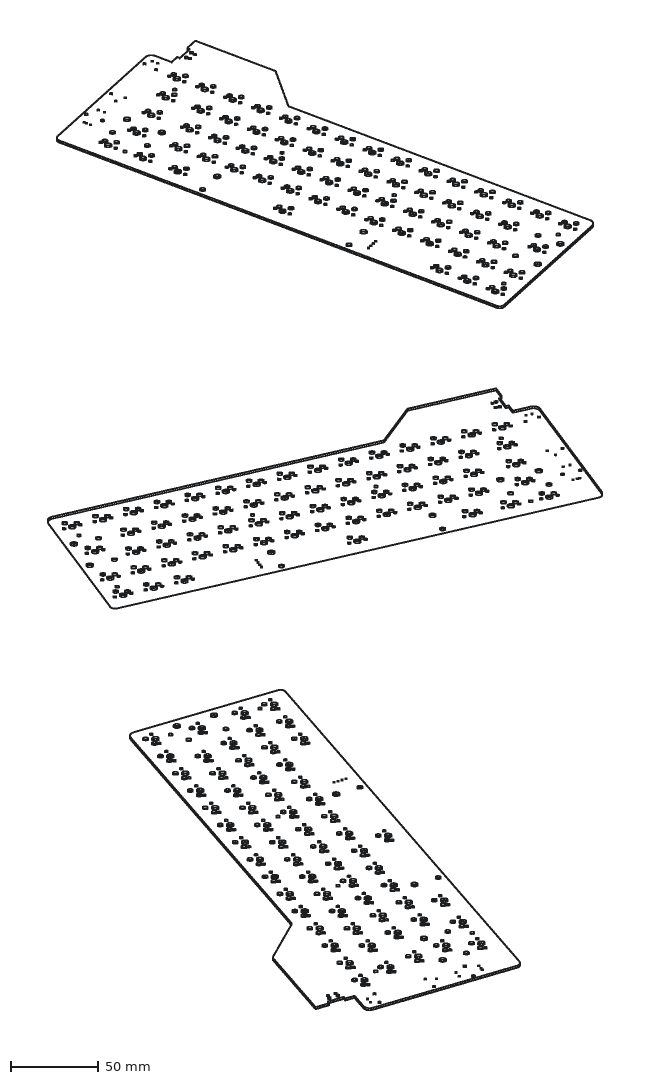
import cadquery as cq


length = 304.7
depth = 124.5
thickness = 1.5
main_depth = 99.5
front_corner_radius = 3.0
back_corner_radius = 4.0
right = length / 2
front = -depth / 2
back = depth / 2
main_back = front + main_depth

tab_left = -137.0
tab_slope_top = -82.3
tab_height = back - main_back
tab_overlap = 3.0
notch_depth = 1.8
notch_height = 10.5
notch_center_y = 48.5
notch_bottom = notch_center_y - notch_height / 2
notch_top = notch_center_y + notch_height / 2

four_key_span = 76.2
pitch = four_key_span / 4
key_columns = 15
side_margin = 1.9
front_margin = 1.8
field_left = right - side_margin - key_columns * pitch
front_row_y = front + front_margin + pitch / 2

modifier_width = 1.25
tab_key_width = 1.5
caps_width = 1.75
shift_width = 2
spacebar_width = 6.25
enter_width = 1.25

letter_key_count = 12
lower_key_count = 13
modifier_count = 3
arrow_key_count = 3

grid_step = pitch / 15
stem_diameter = 4.0
peg_diameter = 1.75
contact_diameter = 3.0
peg_offset = 4 * grid_step
contact_offsets = [(-3 * grid_step, 2 * grid_step), (2 * grid_step, 4 * grid_step)]

stabilizer_large_diameter = stem_diameter
stabilizer_small_diameter = 3.0
stabilizer_large_offset = 8.2
stabilizer_small_offset = 7.0
short_stabilizer_half_span = 12.0
spacebar_stabilizer_half_span = 50.0

screw_diameter = 2.2
screw_points = [(-121.0, 15.5), (-111.8, -51.0), (-35.7, -3.0), (40.8, -3.0), (140.8, 15.5), (140.8, -41.7)]

pin_diameter = 1.0

slide_switch_x = -144.8
slide_switch_y = -32.3
slide_switch_post_diameter = 1.85
slide_switch_post_offset = 5.5
slide_switch_pin_offsets = [(-2.0, 7.3), (2.0, 7.3), (-2.0, -7.3), (-0.5, -7.3), (2.0, -7.3)]

margin_pin_points = [(-147.0, 32.0), (-143.2, 32.0), (-140.5, -6.5), (-143.2, -12.2)]
margin_post_diameter = 1.5
margin_post_points = [(-149.3, 27.5), (-140.5, 26.2), (-149.3, -7.5)]

header_x = 56.7
header_first_y = -47.0
header_pin_count = 4
header_pin_pitch = 2 * grid_step

connector_shell_diameter = 1.85
connector_shell_x = -132.5
connector_shell_half_span = 2.7
connector_post_diameter = 1.5
connector_post_x = -130.0
connector_post_half_span = 2.5


def row_y(row):
    """Y of the key centres in a row, counted from the front row."""
    return front_row_y + row * pitch


def key_run(row, first_edge, widths):
    """Centres of adjoining keys; edges and widths are in pitches from the left of the key field."""
    centers = []
    edge = first_edge
    for width in widths:
        centers.append((field_left + pitch * (edge + width / 2), row_y(row)))
        edge += width
    return centers


def make_board():
    main = (
        cq.Workplane("XY")
        .rect(length, main_depth)
        .extrude(thickness)
        .edges("|Z and >Y")
        .fillet(back_corner_radius)
        .edges("|Z and <Y")
        .fillet(front_corner_radius)
        .translate((0, front + main_depth / 2, 0))
    )
    slope_bottom = tab_slope_top + tab_height
    tab_outline = [
        (tab_left, main_back - tab_overlap),
        (tab_left, notch_bottom),
        (tab_left + notch_depth, notch_bottom),
        (tab_left + notch_depth, notch_top),
        (tab_left, notch_top),
        (tab_left, back),
        (tab_slope_top, back),
        (slope_bottom, main_back),
        (slope_bottom, main_back - tab_overlap),
    ]
    tab = cq.Workplane("XY").polyline(tab_outline).close().extrude(thickness)
    return main.union(tab).translate((0, 0, -thickness / 2))


def drill(board, points, diameter):
    """Drill through holes of one diameter at the given points."""
    cutters = cq.Workplane("XY").pushPoints(points).circle(diameter / 2).extrude(thickness, both=True)
    return board.cut(cutters)


def drill_switches(board, centers):
    pegs = [(x + side * peg_offset, y) for x, y in centers for side in (-1, 1)]
    contacts = [(x + dx, y + dy) for x, y in centers for dx, dy in contact_offsets]
    board = drill(board, centers, stem_diameter)
    board = drill(board, pegs, peg_diameter)
    return drill(board, contacts, contact_diameter)


def drill_wide_key_stabilizer(board, center, half_span):
    """Stabilizer of a wide key: large holes behind the key centre, small holes in front of it."""
    x, y = center
    large = [(x + side * half_span, y + stabilizer_large_offset) for side in (-1, 1)]
    small = [(x + side * half_span, y - stabilizer_small_offset) for side in (-1, 1)]
    board = drill(board, large, stabilizer_large_diameter)
    return drill(board, small, stabilizer_small_diameter)


def drill_tall_key_stabilizer(board, center, half_span):
    """Stabilizer of a tall key: large holes right of the key centre, small holes left of it."""
    x, y = center
    large = [(x + stabilizer_large_offset, y + side * half_span) for side in (-1, 1)]
    small = [(x - stabilizer_small_offset, y + side * half_span) for side in (-1, 1)]
    board = drill(board, large, stabilizer_large_diameter)
    return drill(board, small, stabilizer_small_diameter)


def drill_slide_switch(board):
    posts = [(slide_switch_x + side * slide_switch_post_offset, slide_switch_y) for side in (-1, 1)]
    pins = [(slide_switch_x + dx, slide_switch_y + dy) for dx, dy in slide_switch_pin_offsets]
    board = drill(board, posts, slide_switch_post_diameter)
    return drill(board, pins, pin_diameter)


def drill_margin_components(board):
    board = drill(board, margin_pin_points, pin_diameter)
    return drill(board, margin_post_points, margin_post_diameter)


def drill_header(board):
    pins = [(header_x, header_first_y - index * header_pin_pitch) for index in range(header_pin_count)]
    return drill(board, pins, pin_diameter)


def drill_connector(board):
    shell = [(connector_shell_x, notch_center_y + side * connector_shell_half_span) for side in (-1, 1)]
    posts = [(connector_post_x, notch_center_y + side * connector_post_half_span) for side in (-1, 1)]
    board = drill(board, shell, connector_shell_diameter)
    return drill(board, posts, connector_post_diameter)


number_row = key_run(4, 0, [1] * key_columns)
upper_row = key_run(3, 0, [tab_key_width] + [1] * letter_key_count)
home_row = key_run(2, 0, [caps_width] + [1] * letter_key_count)
lower_row = key_run(1, 0, [shift_width] + [1] * lower_key_count)
front_row = key_run(0, 0, [modifier_width] * modifier_count + [spacebar_width])
arrow_keys = key_run(0, key_columns - arrow_key_count, [1] * arrow_key_count)
enter_key = key_run(2.5, key_columns - enter_width, [enter_width])
shift_center = lower_row[0]
spacebar_center = front_row[-1]
key_centers = number_row + upper_row + home_row + lower_row + front_row + arrow_keys + enter_key

result = make_board()
result = drill_switches(result, key_centers)
result = drill_wide_key_stabilizer(result, shift_center, short_stabilizer_half_span)
result = drill_wide_key_stabilizer(result, spacebar_center, spacebar_stabilizer_half_span)
result = drill_tall_key_stabilizer(result, enter_key[0], short_stabilizer_half_span)
result = drill(result, screw_points, screw_diameter)
result = drill_slide_switch(result)
result = drill_margin_components(result)
result = drill_header(result)
result = drill_connector(result)